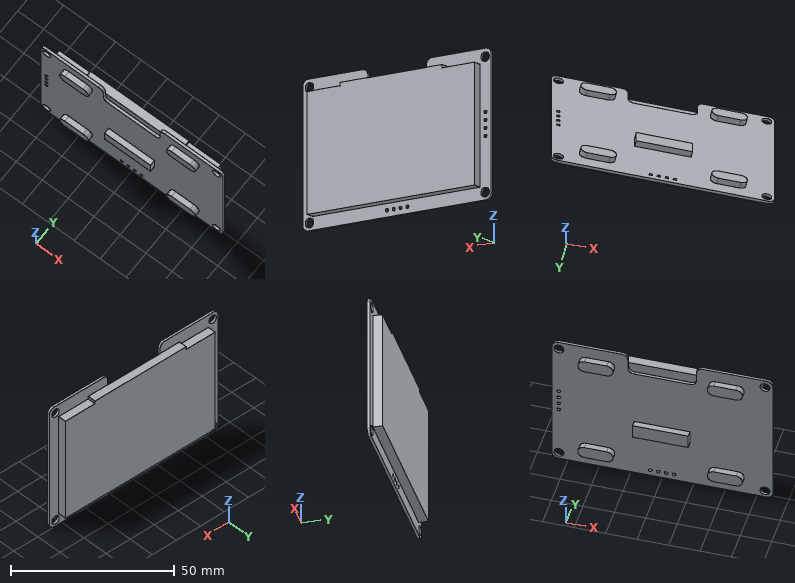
import cadquery as cq

board_width = 70.2
board_height = 48.1
board_thickness = 1.0
corner_radius = 2.0
board_right = board_width / 2
board_top = board_height / 2

notch_width = 21.75
notch_depth = 7.2
notch_center_x = -0.1

mount_hole_diameter = 3.0
mount_hole_spacing_x = 65.4
mount_hole_spacing_z = 42.9
mount_center_x = -0.15
mount_center_z = -0.15

pin_hole_diameter = 1.0
pin_pitch = 2.5
pin_count = 4
pin_edge_distance = 2.2
side_row_center_z = 0.0
bottom_row_center_x = -0.1

front_part_height = 2.05
pad_length = 11.15
pad_width = 4.1
pad_spacing_x = 41.15
pad_spacing_z = 35.6
pad_center_x = -0.15
pad_center_z = 0.1
connector_width = 17.7
connector_height = 4.7
connector_center_x = -0.1
connector_center_z = -5.2

display_width = 62.35
display_height = 38.9
display_thickness = 3.1
display_center_x = 0.15
display_bottom = -19.7
tab_width = 38.0
tab_height = 1.05
tab_center_x = 0.0


def block(width, height, y_front, thickness, center_x, center_z):
    """Box reaching from y_front towards +Y, centred at (center_x, center_z)."""
    return (
        cq.Workplane("XY")
        .box(width, thickness, height, centered=(True, False, True))
        .translate((center_x, y_front, center_z))
    )


def grid_points(spacing_x, spacing_z, center_x, center_z):
    """Four corners of a rectangle as (x, z) points."""
    return [
        (center_x + side_x * spacing_x / 2, center_z + side_z * spacing_z / 2)
        for side_x in (-1, 1)
        for side_z in (-1, 1)
    ]


def through_holes(points, diameter):
    """Cylinders that pass through the board at the given (x, z) points."""
    return cq.Workplane("XZ").pushPoints(points).circle(diameter / 2).extrude(-board_thickness)


def make_board():
    notch_floor = board_top - notch_depth
    notch_left = notch_center_x - notch_width / 2
    notch_right = notch_center_x + notch_width / 2
    outline = [
        (-board_right, -board_top),
        (board_right, -board_top),
        (board_right, board_top),
        (notch_right, board_top),
        (notch_right, notch_floor),
        (notch_left, notch_floor),
        (notch_left, board_top),
        (-board_right, board_top),
    ]
    plate = cq.Workplane("XZ").polyline(outline).close().extrude(-board_thickness)
    plate = plate.edges("|Y").fillet(corner_radius)

    mount_points = grid_points(
        mount_hole_spacing_x, mount_hole_spacing_z, mount_center_x, mount_center_z
    )
    pin_offsets = [pin_pitch * (i - (pin_count - 1) / 2) for i in range(pin_count)]
    side_row_x = -board_right + pin_edge_distance
    bottom_row_z = -board_top + pin_edge_distance
    side_row = [(side_row_x, side_row_center_z + offset) for offset in pin_offsets]
    bottom_row = [(bottom_row_center_x + offset, bottom_row_z) for offset in pin_offsets]

    plate = plate.cut(through_holes(mount_points, mount_hole_diameter))
    return plate.cut(through_holes(side_row + bottom_row, pin_hole_diameter))


def make_pads():
    return (
        cq.Workplane("XZ")
        .pushPoints(grid_points(pad_spacing_x, pad_spacing_z, pad_center_x, pad_center_z))
        .slot2D(pad_length, pad_width)
        .extrude(front_part_height)
    )


def make_connector():
    return block(
        connector_width, connector_height,
        -front_part_height, front_part_height,
        connector_center_x, connector_center_z,
    )


def make_display():
    body = block(
        display_width, display_height,
        board_thickness, display_thickness,
        display_center_x, display_bottom + display_height / 2,
    )
    tab = block(
        tab_width, tab_height,
        board_thickness, display_thickness,
        tab_center_x, display_bottom + display_height + tab_height / 2,
    )
    return body.union(tab)


result = make_board().union(make_pads()).union(make_connector()).union(make_display())